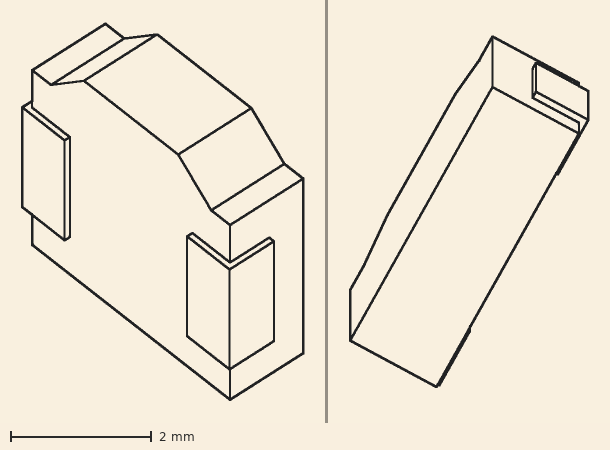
import cadquery as cq

body_width = 4.2
body_depth = 1.4
shoulder_height = 3.5
crown_height = 0.6
crown_base_width = 3.4
crown_top_width = 2.0

terminal_thickness = 0.1
terminal_height = 2.0
terminal_width = 0.9
terminal_depth = 0.85

total_height = shoulder_height + crown_height
front_y = -body_depth / 2


def make_body():
    """Block with its crown, centred on X and Y and standing on Z = 0."""
    return (
        cq.Workplane("XZ", origin=(0, front_y, 0))
        .moveTo(-body_width / 2, 0)
        .lineTo(body_width / 2, 0)
        .lineTo(body_width / 2, shoulder_height)
        .lineTo(crown_base_width / 2, shoulder_height)
        .lineTo(crown_top_width / 2, total_height)
        .lineTo(-crown_top_width / 2, total_height)
        .lineTo(-crown_base_width / 2, shoulder_height)
        .lineTo(-body_width / 2, shoulder_height)
        .close()
        .extrude(-body_depth)
    )


def make_terminal(side):
    """Terminal at half the shoulder height; side is -1 for -X and +1 for +X.

    The block overlaps the body, so the union leaves only the outer cap.
    """
    outer_x = body_width / 2 + terminal_thickness
    center_x = side * (outer_x - terminal_width / 2)
    center_y = front_y - terminal_thickness + terminal_depth / 2
    return cq.Workplane("XY").box(terminal_width, terminal_depth, terminal_height).translate(
        (center_x, center_y, shoulder_height / 2)
    )


result = make_body()
for side in (-1, 1):
    result = result.union(make_terminal(side))